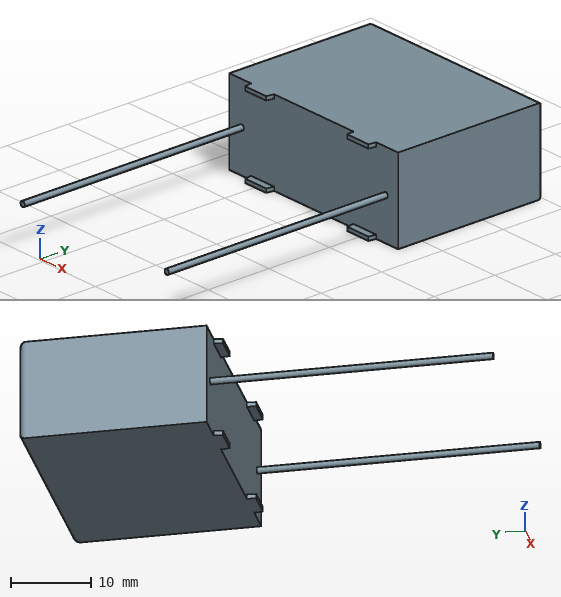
import cadquery as cq

CASE_WIDTH = 32.3
CASE_DEPTH = 24.0
CASE_HEIGHT = 13.2
TOTAL_LENGTH = 60.1
BACK_EDGE_RADIUS = 0.9

FOOT_ROOT_WIDTH = 4.4
FOOT_TIP_WIDTH = 4.0
FOOT_LENGTH = 1.15
FOOT_THICKNESS = 0.6
FOOT_SPACING = 19.55

LEAD_DIAMETER = 0.85
LEAD_SPACING = 27.5
LEAD_LENGTH = TOTAL_LENGTH - CASE_DEPTH

BACK_Y = TOTAL_LENGTH / 2
FRONT_Y = BACK_Y - CASE_DEPTH


def make_foot(center_x, bottom_z):
    """Flat foot that tapers from the front face to its tip."""
    half_root = FOOT_ROOT_WIDTH / 2
    half_tip = FOOT_TIP_WIDTH / 2
    outline = [
        (-half_root, 0),
        (-half_tip, -FOOT_LENGTH),
        (half_tip, -FOOT_LENGTH),
        (half_root, 0),
    ]
    return (
        cq.Workplane("XY", origin=(center_x, FRONT_Y, bottom_z))
        .polyline(outline)
        .close()
        .extrude(FOOT_THICKNESS)
    )


def make_housing():
    """Box with rounded back edges and four feet on the front face."""
    housing = (
        cq.Workplane("XY", origin=(0, FRONT_Y + CASE_DEPTH / 2, 0))
        .box(CASE_WIDTH, CASE_DEPTH, CASE_HEIGHT)
        .faces(">Y")
        .edges()
        .fillet(BACK_EDGE_RADIUS)
    )
    foot_bottoms = (-CASE_HEIGHT / 2, CASE_HEIGHT / 2 - FOOT_THICKNESS)
    for center_x in (-FOOT_SPACING / 2, FOOT_SPACING / 2):
        for bottom_z in foot_bottoms:
            housing = housing.union(make_foot(center_x, bottom_z))
    return housing


def make_lead(center_x):
    """Straight wire from the front face to the far end of the part."""
    return (
        cq.Workplane("XZ", origin=(center_x, FRONT_Y, 0))
        .circle(LEAD_DIAMETER / 2)
        .extrude(LEAD_LENGTH)
    )


housing = make_housing()
leads = [make_lead(center_x) for center_x in (-LEAD_SPACING / 2, LEAD_SPACING / 2)]

result = cq.Compound.makeCompound([housing.val(), *[lead.val() for lead in leads]])